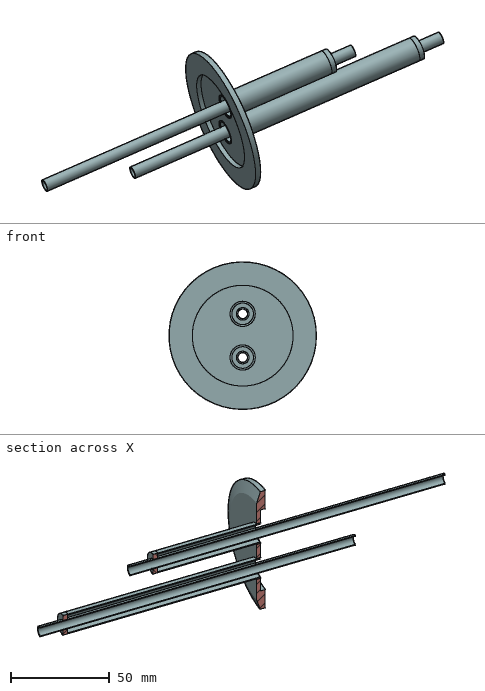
import cadquery as cq


flange_diameter = 75.0
flange_back_diameter = 61.7
flange_thickness = 5.0
rim_thickness = 3.0
recess_diameter = 51.2
recess_depth = 2.5

tube_diameter = 6.5
tube_bore = 4.8
tube_spacing = 22.2
overall_length = 228.5
long_front_reach = 101.5
tube_stagger = 50.7
tube_length = overall_length - tube_stagger
tube_back_reach = 12.8

sleeve_diameter = 12.8
sleeve_bore = 11.0
sleeve_front = recess_depth + 0.5
cap_length = 2.7

feedthroughs = [
    (tube_spacing / 2, -long_front_reach),
    (-tube_spacing / 2, tube_stagger - long_front_reach),
]


def cylinder(diameter, start, end, height=0.0):
    """Solid cylinder along Y, from start to end, with its axis at Z = height."""
    return (
        cq.Workplane("XZ", origin=(0, start, height))
        .circle(diameter / 2)
        .extrude(start - end)
    )


def pipe(outer_diameter, inner_diameter, start, end, height):
    """Hollow cylinder along Y."""
    bore = cylinder(inner_diameter, start, end, height)
    return cylinder(outer_diameter, start, end, height).cut(bore)


def make_flange():
    """Disc with a tapered back, a front recess and one hole for each sleeve."""
    flange = (
        cq.Workplane("XY")
        .polyline([
            (0, 0),
            (flange_diameter / 2, 0),
            (flange_diameter / 2, rim_thickness),
            (flange_back_diameter / 2, flange_thickness),
            (0, flange_thickness),
        ])
        .close()
        .revolve(360, (0, 0, 0), (0, 1, 0))
    )
    flange = flange.cut(cylinder(recess_diameter, 0, recess_depth))
    for height, _ in feedthroughs:
        flange = flange.cut(cylinder(sleeve_diameter, 0, flange_thickness, height))
    return flange


def make_tube(height, front):
    """Through tube, open at both ends."""
    return pipe(tube_diameter, tube_bore, front, front + tube_length, height)


def cap_end(front):
    """Y position of the outer face of the end cap."""
    return front + tube_length - tube_back_reach


def make_sleeve(height, front):
    """Sleeve from inside the flange to the end cap."""
    end = cap_end(front) - cap_length
    return pipe(sleeve_diameter, sleeve_bore, sleeve_front, end, height)


def make_cap(height, front):
    """Ring that closes the gap between the sleeve and the tube."""
    end = cap_end(front)
    return pipe(sleeve_diameter, tube_diameter, end - cap_length, end, height)


bodies = [make_flange().val()]
for height, front in feedthroughs:
    bodies.append(make_tube(height, front).val())
    bodies.append(make_sleeve(height, front).val())
    bodies.append(make_cap(height, front).val())

result = cq.Compound.makeCompound(bodies)